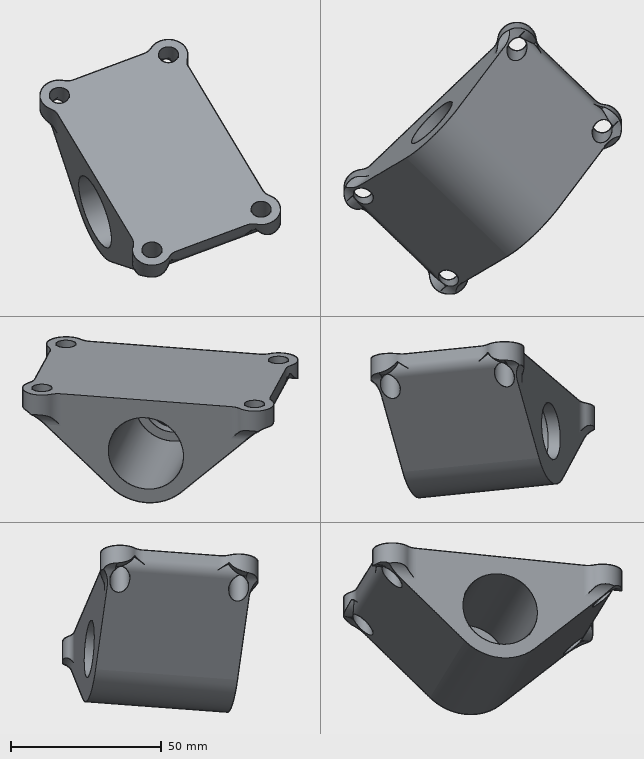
import cadquery as cq
import math

length = 80.0
width = 47.95
edge_round = 5.0
bore_drop = 19.05
housing_radius = 17.7

seat_radius = 12.75
lip_radius = 9.5
lip_thickness = 4.25

overall_length = 85.0
overall_width = 53.05
lug_radius = 6.5
lug_thickness = 6.5
lug_hole_radius = 3.3
lug_x = overall_length / 2 - lug_radius
lug_y = overall_width / 2 - lug_radius
blend_radius = 5.0

relief_outer_y = 22.0
relief_peak_y = 15.9
relief_peak_depth = 2.8
relief_inner_y = 10.2
relief_inner_depth = 6.7
relief_radius = 7.05

end_wall_height = 6.0
half_length = length / 2
flank_rise = bore_drop - end_wall_height
center_distance = math.hypot(half_length, flank_rise)
tangent_angle = math.atan2(flank_rise, half_length) - math.acos(housing_radius / center_distance)
tangent_x = housing_radius * math.cos(tangent_angle)
tangent_z = -bore_drop + housing_radius * math.sin(tangent_angle)


slab_size = 102.0
margin = 0.1


def make_tapered_block(depth):
    """Block of the given depth along Y, with sharp corners between end walls and flanks."""
    return (
        cq.Workplane("XZ")
        .moveTo(-half_length, 0)
        .lineTo(half_length, 0)
        .lineTo(half_length, -end_wall_height)
        .lineTo(tangent_x, tangent_z)
        .threePointArc((0, -bore_drop - housing_radius), (-tangent_x, tangent_z))
        .lineTo(-half_length, -end_wall_height)
        .close()
        .extrude(depth / 2, both=True)
    )


def make_block():
    """Tapered block whose end walls are rounded into the sloping flanks."""
    corners = cq.selectors.BoxSelector(
        (-length, -width, -end_wall_height - margin),
        (length, width, -end_wall_height + margin),
    )
    return make_tapered_block(width).edges("|Y").edges(corners).fillet(edge_round)


def corner_points():
    return [(sx * lug_x, sy * lug_y) for sx in (-1, 1) for sy in (-1, 1)]


def make_lugs(height):
    return cq.Workplane("XY").pushPoints(corner_points()).circle(lug_radius).extrude(-height)


def add_lugs(block):
    """Round lugs at the corners, with their upright sides blended into the block walls."""
    upright_edges = cq.selectors.BoxSelector(
        (-length, -width, -lug_thickness + margin),
        (length, width, -margin),
    )
    return block.union(make_lugs(lug_thickness)).edges("|Z").edges(upright_edges).fillet(blend_radius)


def blend_under(walls, direction):
    """Flat slab of lug thickness on top of the walls, with concave blends beneath it."""
    slab = cq.Workplane("XY").box(slab_size, slab_size, lug_thickness, centered=(True, True, False))
    joint_edges = cq.selectors.BoxSelector(
        (-length, -slab_size, -lug_thickness - margin),
        (length, slab_size, -lug_thickness + margin),
    )
    inner_edges = cq.selectors.BoxSelector(
        (-half_length, -width / 2 - margin, -2 * lug_thickness),
        (half_length, width / 2 + margin, 0),
    )
    joined = walls.union(slab.translate((0, 0, -lug_thickness)))
    return joined.edges(direction).edges(joint_edges).edges(inner_edges).fillet(blend_radius)


def make_lug_undersides():
    """Material under the lugs that curves down into the side walls and the flanks."""
    height = bore_drop + housing_radius
    core = cq.Workplane("XY").box(2 * lug_x, width, height, centered=(True, True, False))
    wall_edges = cq.selectors.BoxSelector(
        (-lug_x + margin, -width, -height),
        (lug_x - margin, width, 0),
    )
    footprint = core.translate((0, 0, -height)).union(make_lugs(height))
    footprint = footprint.edges("|Z").edges(wall_edges).fillet(blend_radius)

    side_walls = cq.Workplane("XY").box(slab_size, width, height, centered=(True, True, False))
    side_blend = blend_under(side_walls.translate((0, 0, -height)), "|X")
    flank_blend = blend_under(make_tapered_block(slab_size), "|Y")
    return footprint.intersect(side_blend).intersect(flank_blend)


def make_lug_relief():
    """Clearance along X that rounds the facing undersides of the lugs at each end."""
    relief = cq.Workplane("YZ")
    for side in (-1, 1):
        profile = (
            cq.Workplane("YZ")
            .moveTo(side * relief_outer_y, -lug_thickness)
            .radiusArc((side * relief_peak_y, -relief_peak_depth), side * relief_radius)
            .lineTo(side * relief_inner_y, -relief_inner_depth)
            .lineTo(side * relief_inner_y, -2 * lug_thickness)
            .lineTo(side * relief_outer_y, -2 * lug_thickness)
            .close()
            .extrude(slab_size / 2, both=True)
        )
        relief = relief.add(profile)
    return relief.combine()


def cut_holes(body):
    """Lug holes through the full height, and the stepped bore along Y."""
    lug_holes = (
        cq.Workplane("XY")
        .pushPoints(corner_points())
        .circle(lug_hole_radius)
        .extrude(-bore_drop - housing_radius)
    )
    bore_plane = cq.Workplane("XZ", origin=(0, width / 2, -bore_drop))
    through_bore = bore_plane.circle(lip_radius).extrude(width)
    seat = bore_plane.workplane(offset=lip_thickness).circle(seat_radius).extrude(width - lip_thickness)
    return body.cut(lug_holes).cut(through_bore).cut(seat)


block = make_block()
lugged_body = add_lugs(block).union(make_lug_undersides())
relieved_body = lugged_body.cut(make_lug_relief().cut(block))
result = cut_holes(relieved_body)